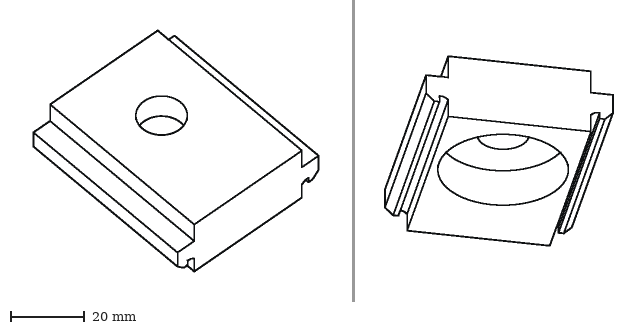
import cadquery as cq
import math

length = 58.25
overall_width = 51.7
height = 19.5
body_width = 39.5

rail_top = 12.65
rail_bottom = 4.5
lip_chamfer = 2.3
lip_flat = 1.45

groove_top = 6.35
groove_radius = 2.75
groove_axis_offset = 0.3

hole_x = 23.3 - length / 2
hole_diameter = 14.0
recess_diameter = 35.5
hole_depth = 8.4
recess_depth = height - hole_depth

rail_edge = overall_width / 2
body_edge = body_width / 2
lip_inner = rail_edge - lip_chamfer - lip_flat
groove_axis_y = lip_inner - groove_axis_offset
groove_axis_z = groove_top - groove_radius


def groove_height(y):
    """Height of the rounded groove roof at a given distance from the centre plane."""
    return groove_axis_z + math.sqrt(groove_radius**2 - (y - groove_axis_y) ** 2)


def make_body():
    return cq.Workplane("XY").box(length, body_width, height, centered=(True, True, False))


def make_rail():
    """Rail on the +Y side, reaching inward to the centre plane."""
    groove_mid = (body_edge + lip_inner) / 2
    return (
        cq.Workplane("YZ", origin=(-length / 2, 0, 0))
        .moveTo(0, rail_top)
        .lineTo(rail_edge, rail_top)
        .lineTo(rail_edge, rail_bottom + lip_chamfer)
        .lineTo(rail_edge - lip_chamfer, rail_bottom)
        .lineTo(lip_inner, rail_bottom)
        .lineTo(lip_inner, groove_height(lip_inner))
        .threePointArc(
            (groove_mid, groove_height(groove_mid)),
            (body_edge, groove_height(body_edge)),
        )
        .lineTo(0, groove_height(body_edge))
        .close()
        .extrude(length)
    )


def make_stepped_hole():
    hole = cq.Workplane("XY").center(hole_x, 0).circle(hole_diameter / 2).extrude(height)
    recess = cq.Workplane("XY").center(hole_x, 0).circle(recess_diameter / 2).extrude(recess_depth)
    return hole.union(recess)


rail = make_rail()
result = make_body().union(rail).union(rail.mirror("XZ")).cut(make_stepped_hole())